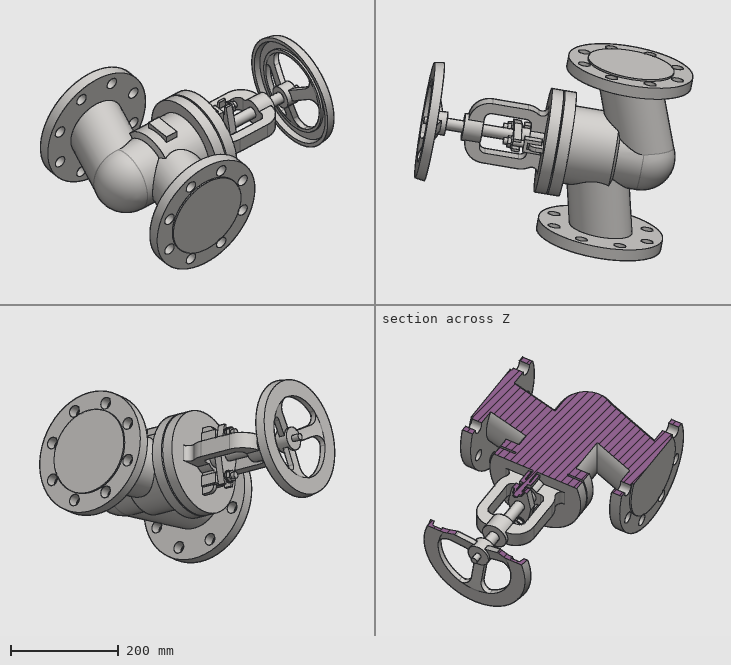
import cadquery as cq
import math


OVERALL_LENGTH = 477.5

FACE_TO_FACE = 350.0
FLANGE_R = 117.5
FLANGE_T = 22.0
RAISED_R = 81.0
RAISED_T = 3.5
BOLT_CIRCLE_R = 95.0
BOLT_HOLE_D = 22.5
BOLT_HOLES = 8
FLANGE_BACK_X = FACE_TO_FACE / 2 - RAISED_T - FLANGE_T

PIPE_R = 58.0
INLET_ANGLE = 20
INLET_OFFSET = 4.0
OUTLET_ANGLE = 13.2
BOWL_R = 62.0
BOWL_Y = -51.0
CHAMBER_R = 73.0
CHAMBER_Y = 3.0
SHOULDER_H = 5.3

JOINT_R = 98.0
JOINT_T = 21.5
GASKET_R = 69.0
GASKET_T = 3.0
BODY_JOINT_Y = 89.5
GASKET_Y = BODY_JOINT_Y + JOINT_T
BONNET_Y = GASKET_Y + GASKET_T
DECK_Y = BONNET_Y + JOINT_T

PLATE_W = 53.5
PLATE_Y0 = 23.5
PLATE_H = 25.0
PLATE_TOP_Z = 81.0

YOKE_T = 30.5
YOKE_HALF_W = 58.5
YOKE_WINDOW_HALF_W = 39.0
YOKE_BEND_R = 39.0
YOKE_BEND_Y = 240.0
YOKE_WAIST_Y = 173.5
FOOT_FILLET_R = 11.5
YOKE_WINDOW_Y0 = 162.0
YOKE_WINDOW_Y1 = 250.5
YOKE_WINDOW_R = 12.5
YOKE_HUB_R = 25.5
YOKE_HUB_TOP_Y = 286.0
NECK_R = 24.0

STEM_R = 11.0
STEM_TIP_R = 6.0
STEM_TIP_H = 1.5
STEM_TOP_Y = OVERALL_LENGTH - FLANGE_R

LUG_T = 8.5
LUG_HALF_Z = 65.5
LUG_CORNER_R = 12.5
EYE_BOLT_Z = 42.5
EYE_BOLT_R = 6.0
EYE_BOLT_TOP_Y = 210.0
CLEVIS_W = 25.0
CLEVIS_DEPTH = 20.0
CLEVIS_Y0 = 139.0
CLEVIS_H = 33.0
CLEVIS_Y1 = CLEVIS_Y0 + CLEVIS_H
CLEVIS_SLOT_W = 11.5
CLEVIS_SLOT_TOP_Y = 165.0
GLAND_R = 17.0
GLAND_LIFT = 16.5
GLAND_PLATE_Y0 = YOKE_WINDOW_Y0 + GLAND_LIFT
GLAND_PLATE_T = 14.5
GLAND_HALF_X = 24.5
GLAND_HALF_Z = 58.5
GLAND_END_HALF_X = 12.0
GLAND_SLOT_W = 14.5
WASHER_R = 12.0
WASHER_T = 3.0
NUT_FLATS = 19.0
NUT_H = 6.5

RIM_H = 17.5
WHEEL_Y1 = STEM_TOP_Y - STEM_TIP_H
WHEEL_Y0 = WHEEL_Y1 - RIM_H
RIM_R = 111.7
RIM_TOP_R = 109.0
RIM_LIP_R = 104.0
RIM_ROOT_R = 101.0
RECESS_DEPTH = 11.0
WEB_Y = WHEEL_Y0 + RECESS_DEPTH
BEAD_R = 84.5
DISH_T = 11.5
DISH_ROOT_Y = 328.5
DISH_SLOPE = 18.5
WHEEL_HUB_R = 22.0
WHEEL_HUB_Y = 318.5
WHEEL_HUB_L = 26.5
WHEEL_HUB_TOP_Y = WHEEL_HUB_Y + WHEEL_HUB_L
SPOKES = 3
SPOKE_W = 21.5
WINDOW_R = 78.5
WINDOW_CORNER_R = 15.8


def rod(radius, y0, y1, x=0, z=0):
    """Cylinder along Y from y0 to y1."""
    start = cq.Vector(x, y0, z)
    return cq.Workplane(cq.Solid.makeCylinder(radius, y1 - y0, start, cq.Vector(0, 1, 0)))


def block(x0, x1, y0, y1, z0, z1):
    """Axis-aligned box between two corners."""
    return cq.Workplane("XY").box(x1 - x0, y1 - y0, z1 - z0, centered=False).translate((x0, y0, z0))


def plan(y):
    """Sketch plane at height y, normal +Y, with local axes along global +Z and +X."""
    return cq.Workplane(cq.Plane(origin=(0, y, 0), xDir=(0, 0, 1), normal=(0, 1, 0)))


def pipe_flange():
    """Flange on the +X end, with raised face and bolt holes."""
    flange = cq.Workplane("YZ", origin=(FLANGE_BACK_X, 0, 0)).circle(FLANGE_R).extrude(FLANGE_T)
    holes = (
        cq.Workplane("YZ", origin=(FLANGE_BACK_X, 0, 0))
        .polarArray(BOLT_CIRCLE_R, 180 / BOLT_HOLES, 360, BOLT_HOLES)
        .circle(BOLT_HOLE_D / 2)
        .extrude(FLANGE_T)
    )
    face = cq.Workplane("YZ", origin=(FLANGE_BACK_X, 0, 0)).circle(RAISED_R).extrude(FLANGE_T + RAISED_T)
    return flange.union(face).cut(holes)


def pipe(x_start, y_start, x_end, y_end):
    """Straight pipe between two points of the plane Z = 0."""
    start = cq.Vector(x_start, y_start, 0)
    axis = cq.Vector(x_end, y_end, 0) - start
    return cq.Workplane(cq.Solid.makeCylinder(PIPE_R, axis.Length, start, axis))


def body():
    chamber = (
        cq.Workplane("XY")
        .moveTo(0, BOWL_Y - BOWL_R)
        .threePointArc(
            (BOWL_R * math.sqrt(0.5), BOWL_Y - BOWL_R * math.sqrt(0.5)),
            (BOWL_R, BOWL_Y),
        )
        .lineTo(BOWL_R, CHAMBER_Y - SHOULDER_H)
        .lineTo(CHAMBER_R, CHAMBER_Y)
        .lineTo(CHAMBER_R, BODY_JOINT_Y)
        .lineTo(0, BODY_JOINT_Y)
        .close()
        .revolve(360, (0, 0, 0), (0, 1, 0))
    )
    inlet_drop = math.tan(math.radians(INLET_ANGLE))
    inlet_end_y = BOWL_Y - INLET_OFFSET / math.cos(math.radians(INLET_ANGLE))
    reach = FLANGE_BACK_X + FLANGE_T
    inlet = pipe(-reach, inlet_end_y + reach * inlet_drop, 0, inlet_end_y)
    outlet_rise = math.tan(math.radians(OUTLET_ANGLE))
    outlet = pipe(reach, -FLANGE_T * outlet_rise, 0, FLANGE_BACK_X * outlet_rise)
    keep = block(-FLANGE_BACK_X, FLANGE_BACK_X, -FLANGE_R, DECK_Y, -FLANGE_R, FLANGE_R)
    pipes = inlet.union(outlet).intersect(keep)
    plate = block(-PLATE_W / 2, PLATE_W / 2, PLATE_Y0, PLATE_Y0 + PLATE_H, 0, PLATE_TOP_Z)
    right = pipe_flange()
    left = right.mirror("YZ")
    return chamber.union(pipes).union(plate).union(right).union(left)


def bonnet_joint():
    lower = rod(JOINT_R, BODY_JOINT_Y, GASKET_Y)
    gasket = rod(GASKET_R, GASKET_Y, BONNET_Y)
    upper = rod(JOINT_R, BONNET_Y, DECK_Y)
    return lower.union(gasket).union(upper)


def yoke():
    bend_x = YOKE_HALF_W - YOKE_BEND_R
    bend_mid = YOKE_BEND_R * math.sqrt(0.5)
    foot_drop = YOKE_WAIST_Y - DECK_Y - FOOT_FILLET_R
    turn = math.asin(foot_drop / (YOKE_BEND_R + FOOT_FILLET_R))
    foot_x = bend_x + (YOKE_BEND_R + FOOT_FILLET_R) * math.cos(turn)
    foot_y = DECK_Y + FOOT_FILLET_R

    def waist(angle):
        return (bend_x + YOKE_BEND_R * math.cos(angle), YOKE_WAIST_Y - YOKE_BEND_R * math.sin(angle))

    def foot(angle):
        return (foot_x - FOOT_FILLET_R * math.cos(angle), foot_y + FOOT_FILLET_R * math.sin(angle))

    half = (
        cq.Workplane("XY")
        .moveTo(0, DECK_Y)
        .lineTo(foot_x, DECK_Y)
        .threePointArc(foot((turn - math.pi / 2) / 2), foot(turn))
        .threePointArc(waist(turn / 2), waist(0))
        .lineTo(YOKE_HALF_W, YOKE_BEND_Y)
        .threePointArc((bend_x + bend_mid, YOKE_BEND_Y + bend_mid), (bend_x, YOKE_BEND_Y + YOKE_BEND_R))
        .lineTo(0, YOKE_BEND_Y + YOKE_BEND_R)
        .close()
        .extrude(YOKE_T / 2, both=True)
    )
    window = block(
        -YOKE_WINDOW_HALF_W, YOKE_WINDOW_HALF_W, YOKE_WINDOW_Y0, YOKE_WINDOW_Y1, -YOKE_T, YOKE_T
    ).edges("|Z").fillet(YOKE_WINDOW_R)
    frame = half.union(half.mirror("YZ")).cut(window)
    hub = rod(YOKE_HUB_R, YOKE_WINDOW_Y1, YOKE_HUB_TOP_Y)
    neck = rod(NECK_R, DECK_Y, YOKE_WINDOW_Y0)
    return frame.union(hub).union(neck)


def stem():
    shaft = rod(STEM_R, DECK_Y, WHEEL_HUB_TOP_Y)
    tip = rod(STEM_TIP_R, WHEEL_HUB_TOP_Y, STEM_TOP_Y)
    return shaft.union(tip)


def eye_bolt(side):
    """Clevis, bolt, washer and nut on the +Z (side = 1) or -Z (side = -1) end."""
    z = side * EYE_BOLT_Z
    z0 = z - CLEVIS_DEPTH / 2
    z1 = z + CLEVIS_DEPTH / 2
    clevis = block(-CLEVIS_W / 2, CLEVIS_W / 2, CLEVIS_Y0, CLEVIS_Y1, z0, z1)
    slot = block(-CLEVIS_SLOT_W / 2, CLEVIS_SLOT_W / 2, CLEVIS_Y0, CLEVIS_SLOT_TOP_Y, z0, z1)
    plate_top = GLAND_PLATE_Y0 + GLAND_PLATE_T
    nut_y = plate_top + WASHER_T
    bolt = rod(EYE_BOLT_R, YOKE_WINDOW_Y0, EYE_BOLT_TOP_Y, z=z)
    washer = rod(WASHER_R, plate_top, nut_y, z=z)
    nut_corners = NUT_FLATS / math.cos(math.pi / 6)
    nut = plan(nut_y).center(z, 0).polygon(6, nut_corners).extrude(NUT_H)
    return clevis.cut(slot).union(bolt).union(washer).union(nut)


def gland():
    sleeve = rod(GLAND_R, YOKE_WINDOW_Y0, GLAND_PLATE_Y0)
    plate = (
        plan(GLAND_PLATE_Y0)
        .polyline(
            [
                (-GLAND_HALF_Z, -GLAND_END_HALF_X),
                (0, -GLAND_HALF_X),
                (GLAND_HALF_Z, -GLAND_END_HALF_X),
                (GLAND_HALF_Z, GLAND_END_HALF_X),
                (0, GLAND_HALF_X),
                (-GLAND_HALF_Z, GLAND_END_HALF_X),
            ]
        )
        .close()
        .extrude(GLAND_PLATE_T)
    )
    slot_length = 2 * (GLAND_HALF_Z - EYE_BOLT_Z) + GLAND_SLOT_W
    slots = (
        plan(GLAND_PLATE_Y0)
        .pushPoints([(-GLAND_HALF_Z, 0), (GLAND_HALF_Z, 0)])
        .slot2D(slot_length, GLAND_SLOT_W)
        .extrude(GLAND_PLATE_T)
    )
    return plate.cut(slots).union(sleeve)


def stuffing_box():
    lugs = block(
        -LUG_T / 2, LUG_T / 2, DECK_Y, YOKE_WINDOW_Y0, -LUG_HALF_Z, LUG_HALF_Z
    ).edges("|X and >Y").fillet(LUG_CORNER_R)
    return lugs.union(gland()).union(eye_bolt(1)).union(eye_bolt(-1))


def wheel_window():
    """Rounded opening between two spokes, centred on the +Z direction."""
    half_angle = math.pi / SPOKES
    apex = SPOKE_W / 2 / math.sin(half_angle)
    reach = 2 * WINDOW_R
    side = (apex + reach * math.cos(half_angle), reach * math.sin(half_angle))
    height = WHEEL_Y1 - DISH_ROOT_Y
    gap = (
        plan(DISH_ROOT_Y)
        .polyline([(apex, 0), side, (apex + reach, 0), (side[0], -side[1])])
        .close()
        .extrude(height)
    )
    sector = gap.intersect(rod(WINDOW_R, DISH_ROOT_Y, WHEEL_Y1))
    outer_edges = sector.edges("|Y").filter(
        lambda edge: math.hypot(edge.Center().x, edge.Center().z) > WINDOW_R - WINDOW_CORNER_R
    )
    return outer_edges.fillet(WINDOW_CORNER_R)


def handwheel():
    rim = (
        cq.Workplane("XY")
        .moveTo(RIM_R, WHEEL_Y0)
        .lineTo(RIM_TOP_R, WHEEL_Y1)
        .lineTo(WINDOW_R, WHEEL_Y1)
        .lineTo(WINDOW_R, WEB_Y)
        .lineTo(RIM_ROOT_R, WEB_Y)
        .lineTo(RIM_LIP_R, WHEEL_Y0)
        .close()
        .revolve(360, (0, 0, 0), (0, 1, 0))
    )
    slope = math.tan(math.radians(DISH_SLOPE))
    bead_y = DISH_ROOT_Y + (WINDOW_R - WHEEL_HUB_R) * slope
    dish = (
        cq.Workplane("XY")
        .moveTo(STEM_TIP_R, DISH_ROOT_Y)
        .lineTo(WHEEL_HUB_R, DISH_ROOT_Y)
        .lineTo(WINDOW_R, bead_y)
        .lineTo(BEAD_R, bead_y)
        .lineTo(BEAD_R, WHEEL_Y1)
        .lineTo(WHEEL_HUB_R + (WHEEL_Y1 - DISH_ROOT_Y - DISH_T) / slope, WHEEL_Y1)
        .lineTo(WHEEL_HUB_R, DISH_ROOT_Y + DISH_T)
        .lineTo(STEM_TIP_R, DISH_ROOT_Y + DISH_T)
        .close()
        .revolve(360, (0, 0, 0), (0, 1, 0))
    )
    wheel = rim.union(dish)
    for i in range(SPOKES):
        wheel = wheel.cut(wheel_window().rotate((0, 0, 0), (0, 1, 0), i * 360 / SPOKES))
    return wheel.union(rod(WHEEL_HUB_R, WHEEL_HUB_Y, WHEEL_HUB_TOP_Y))


result = (
    body()
    .union(bonnet_joint())
    .union(yoke())
    .union(stem())
    .union(stuffing_box())
    .union(handwheel())
)